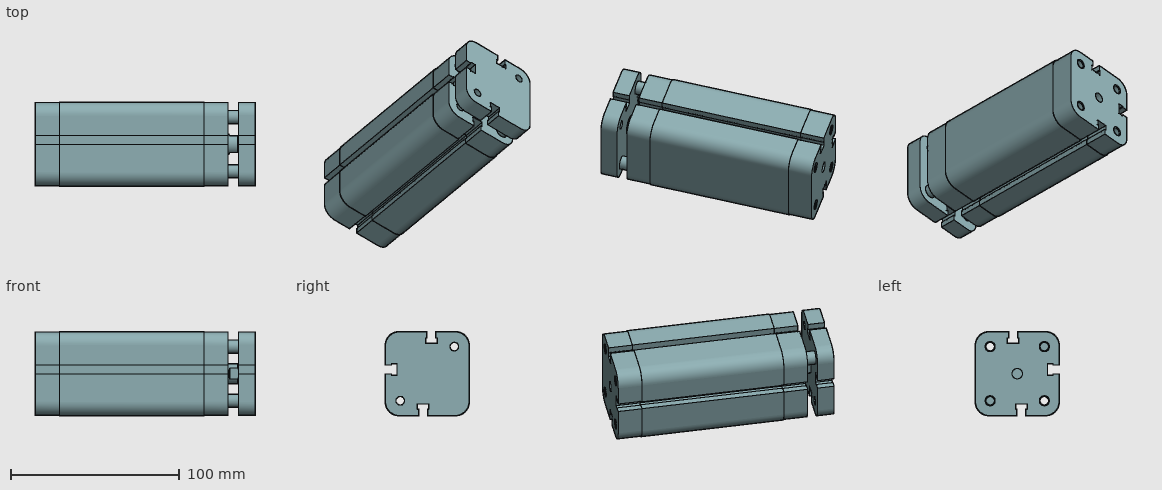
import cadquery as cq
import math


total_length = 130.5
cap_length = 14.4
housing_length = 114.5
plate_gap = 6.0
barrel_end = housing_length - cap_length
plate_start = housing_length + plate_gap
plate_length = total_length - plate_start
rod_start = cap_length

barrel_width = 50.0
corner_radius = 8.1
plate_corner_radius = 7.7
cap_inset = 0.23
cap_width = barrel_width - 2 * cap_inset
cap_slot_clearance = 0.23

slot_offset = 2.5
slot_mouth_width = 5.1
slot_groove_width = 6.7
slot_depth = 6.9
slot_lip = 3.9

hole_offset = 16.0
hole_diameter = 5.0
hole_chamfer = 0.5
hole_chamfer_angle = 45
rear_hole_diameter = 6.1
rear_hole_depth = 10.5

guide_diameter = 8.0
piston_diameter = 12.0
piston_chamfer = 0.4
flat_width = 10.0
flat_start = 115.4
flat_runout_angle = 60

guide_places = [(-hole_offset, hole_offset), (hole_offset, -hole_offset)]
through_places = [(-hole_offset, -hole_offset), (hole_offset, hole_offset)]


def cross_section(x):
    """Sketch plane facing +X at the given X, with sketch axes along Y and Z."""
    return cq.Workplane("YZ", origin=(x, 0, 0))


def sensor_slots(start, length, clearance):
    """The three T-slots, wider on each side and deeper by the clearance."""
    half_width = barrel_width / 2
    mouth = slot_mouth_width / 2 + clearance
    groove = slot_groove_width / 2 + clearance
    outer = half_width + 1.3
    lip_level = half_width - slot_lip
    floor_level = half_width - slot_depth - clearance
    slot = (
        cross_section(start)
        .moveTo(slot_offset - mouth, outer)
        .lineTo(slot_offset - mouth, lip_level)
        .lineTo(slot_offset - groove, lip_level)
        .lineTo(slot_offset - groove, floor_level)
        .lineTo(slot_offset + groove, floor_level)
        .lineTo(slot_offset + groove, lip_level)
        .lineTo(slot_offset + mouth, lip_level)
        .lineTo(slot_offset + mouth, outer)
        .close()
        .extrude(length)
    )
    slots = cq.Workplane("YZ")
    for angle in (0, 90, 180):
        slots = slots.add(slot.rotate((0, 0, 0), (1, 0, 0), angle))
    return slots.combine()


def slotted_block(start, length, width, radius, clearance):
    """Rounded square block along X with the three sensor slots."""
    block = cross_section(start).rect(width, width).extrude(length).edges("|X").fillet(radius)
    return block.cut(sensor_slots(start, length, clearance))


def capped_block(start, length, radius):
    """Slotted block with the slightly smaller section of the caps and the plate."""
    return slotted_block(start, length, cap_width, radius, cap_slot_clearance)


def rod(diameter, places):
    """Plain cylinders from the rear cap up to the end plate."""
    return cross_section(rod_start).pushPoints(places).circle(diameter / 2).extrude(plate_start - rod_start)


def round_holes(start, length, diameter, places):
    return cross_section(start).pushPoints(places).circle(diameter / 2).extrude(length)


def hole_mouth_chamfers(places):
    """Cones that chamfer the corner holes at the rear face."""
    return (
        cross_section(0)
        .pushPoints(places)
        .circle(hole_diameter / 2 + hole_chamfer)
        .extrude(hole_chamfer, taper=hole_chamfer_angle)
    )


def make_housing():
    barrel = slotted_block(cap_length, barrel_end - cap_length, barrel_width, corner_radius, 0)
    rear_cap = capped_block(0, cap_length, corner_radius)
    front_cap = capped_block(barrel_end, cap_length, corner_radius)
    body = barrel.union(rear_cap).union(front_cap)
    corner_places = guide_places + through_places
    body = body.cut(round_holes(0, housing_length, hole_diameter, corner_places))
    body = body.cut(hole_mouth_chamfers(corner_places))
    body = body.cut(round_holes(0, rear_hole_depth, rear_hole_diameter, [(0, 0)]))
    body = body.cut(rod(guide_diameter, guide_places))
    return body.cut(rod(piston_diameter, [(0, 0)]))


def make_plate():
    plate = capped_block(plate_start, plate_length, plate_corner_radius)
    return plate.cut(round_holes(plate_start, plate_length, hole_diameter, through_places))


def make_piston_rod():
    piston = rod(piston_diameter, [(0, 0)]).faces(">X").chamfer(piston_chamfer)
    half_flat = flat_width / 2
    outer = piston_diameter / 2 + 1.3
    runout = (outer - half_flat) / math.tan(math.radians(flat_runout_angle))
    flat_cut = (
        cq.Workplane("XY", origin=(0, 0, -piston_diameter / 2))
        .moveTo(flat_start, half_flat)
        .lineTo(flat_start - runout, outer)
        .lineTo(plate_start, outer)
        .lineTo(plate_start, half_flat)
        .close()
        .extrude(piston_diameter)
    )
    return piston.cut(flat_cut).cut(flat_cut.mirror("XZ"))


housing = make_housing()
plate = make_plate()
piston_rod = make_piston_rod()
guide_rods = [rod(guide_diameter, [place]) for place in guide_places]

result = cq.Compound.makeCompound(
    [housing.val(), plate.val(), piston_rod.val(), *[guide_rod.val() for guide_rod in guide_rods]]
)